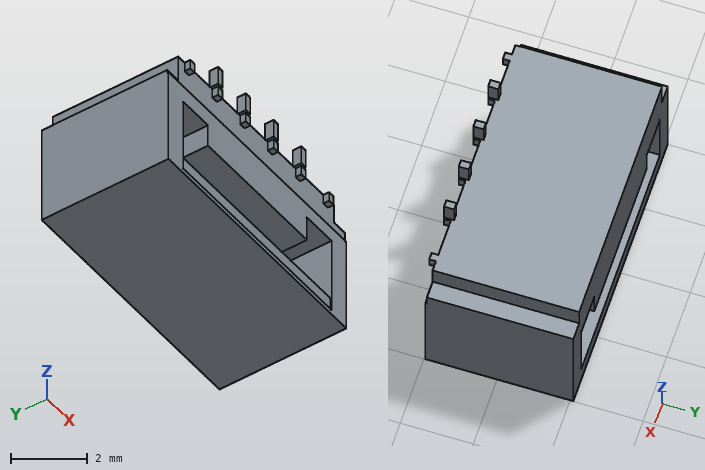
import cadquery as cq

width = 8.0
depth = 4.2
height = 4.7

plate_front = 0.14
shell_front = 0.18
plate_top = 3.06
left_ledge_z = 3.17
right_ledge_z = 3.4
tower_width = 7.02
tower_top = 4.02

opening_width = 6.66
plate_sill_z = 0.15
floor_z = 0.59
left_ceiling_z = 2.52
right_ceiling_z = 2.6
tongue_width = 4.45
tongue_bottom_z = 1.8

contact_pitch = 1.25
contact_width = 0.2
tab_count = 6
tab_height = 0.3
pin_count = 4
pin_depth = 0.28
pin_height = 0.59


def block(x_range, y_range, z_range):
    """Axis-aligned box between pairs of limits."""
    x0, x1 = x_range
    y0, y1 = y_range
    z0, z1 = z_range
    return cq.Workplane("XY").box(x1 - x0, y1 - y0, z1 - z0, centered=False).translate((x0, y0, z0))


def centered_span(size, center=0.0):
    return center - size / 2, center + size / 2


def row_positions(count):
    """X centers of a row of contacts, symmetric about x = 0."""
    return [(i - (count - 1) / 2) * contact_pitch for i in range(count)]


def opening_cutter(y_range, bottom_z):
    """Opening with unequal ceilings on either side of a hanging tongue."""
    left, right = centered_span(opening_width)
    tongue_left, tongue_right = centered_span(tongue_width)
    cutter = block((left, right), y_range, (bottom_z, tongue_bottom_z))
    cutter = cutter.union(block((left, tongue_left), y_range, (bottom_z, left_ceiling_z)))
    return cutter.union(block((tongue_right, right), y_range, (bottom_z, right_ceiling_z)))


def make_housing():
    left, right = centered_span(width)
    shell_y = (shell_front, depth)
    plate_y = (plate_front, shell_front)

    shell = block((left, 0), shell_y, (0, left_ledge_z))
    shell = shell.union(block((0, right), shell_y, (0, right_ledge_z)))
    shell = shell.union(block(centered_span(tower_width), shell_y, (0, tower_top)))
    shell = shell.cut(opening_cutter(shell_y, floor_z))

    plate = block((left, right), plate_y, (0, plate_top))
    plate = plate.cut(opening_cutter(plate_y, plate_sill_z))
    housing = shell.union(plate)

    for x in row_positions(tab_count):
        tab = block(centered_span(contact_width, x), (0, shell_front), (tower_top - tab_height, tower_top))
        housing = housing.union(tab)
    return housing.clean().solids()


def make_pin(x):
    return block(centered_span(contact_width, x), (0, pin_depth), (height - pin_height, height))


housing = make_housing()
pins = [make_pin(x) for x in row_positions(pin_count)]

result = cq.Compound.makeCompound([housing.val(), *[pin.val() for pin in pins]])